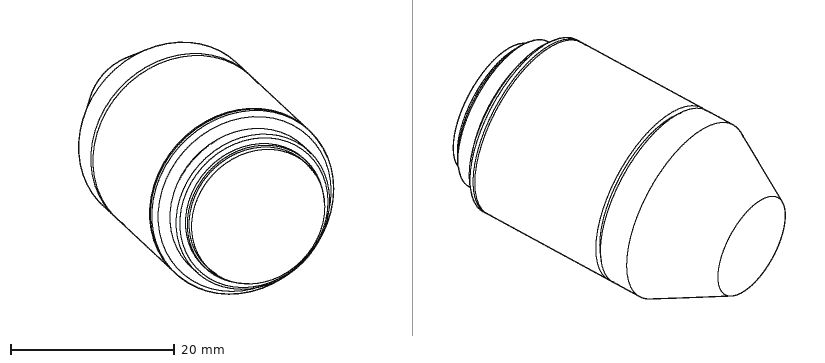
import cadquery as cq

total_length = 39.4
nose_length = 10.1
front_band_width = 4.05
groove_width = 0.7
rear_groove_start = 33.55
rear_groove_width = 0.28
body_end = 34.9
body_chamfer_length = 0.6
neck_length = 0.7
flange_width = 2.35
flange_chamfer_length = 0.35
step_length = 0.6

nose_radius = 6.78
body_radius = 24.0 / 2
groove_depth = 0.8
body_chamfer_depth = 0.6
neck_radius = 9.6
flange_radius = 10.12
flange_chamfer_depth = 0.35
step_radius = 9.02
tail_radius = 8.8

flange_start = body_end + neck_length
flange_end = flange_start + flange_width
tail_start = flange_end + step_length


def revolve_about_x(profile):
    """Revolve an X-radius outline, closed along the X axis, into a solid."""
    return cq.Workplane("XY").polyline(profile).close().revolve(360, (0, 0, 0), (1, 0, 0))


def groove_cutter(start, width):
    """Ring that cuts a square groove into the body surface."""
    return (
        cq.Workplane("YZ", origin=(start, 0, 0))
        .circle(body_radius + groove_depth)
        .circle(body_radius - groove_depth)
        .extrude(width)
    )


def cylinder(start, end, radius):
    """Coaxial cylinder between two positions along X."""
    return cq.Workplane("YZ", origin=(start, 0, 0)).circle(radius).extrude(end - start)


body = revolve_about_x([
    (0, 0),
    (0, nose_radius),
    (nose_length, body_radius),
    (body_end - body_chamfer_length, body_radius),
    (body_end, body_radius - body_chamfer_depth),
    (body_end, 0),
])

body = body.cut(groove_cutter(nose_length + front_band_width, groove_width))
body = body.cut(groove_cutter(rear_groove_start, rear_groove_width))

flange = revolve_about_x([
    (flange_start, 0),
    (flange_start, flange_radius),
    (flange_end - flange_chamfer_length, flange_radius),
    (flange_end, flange_radius - flange_chamfer_depth),
    (flange_end, 0),
])

result = (
    body.union(cylinder(body_end, flange_start, neck_radius))
    .union(flange)
    .union(cylinder(flange_end, tail_start, step_radius))
    .union(cylinder(tail_start, total_length, tail_radius))
)